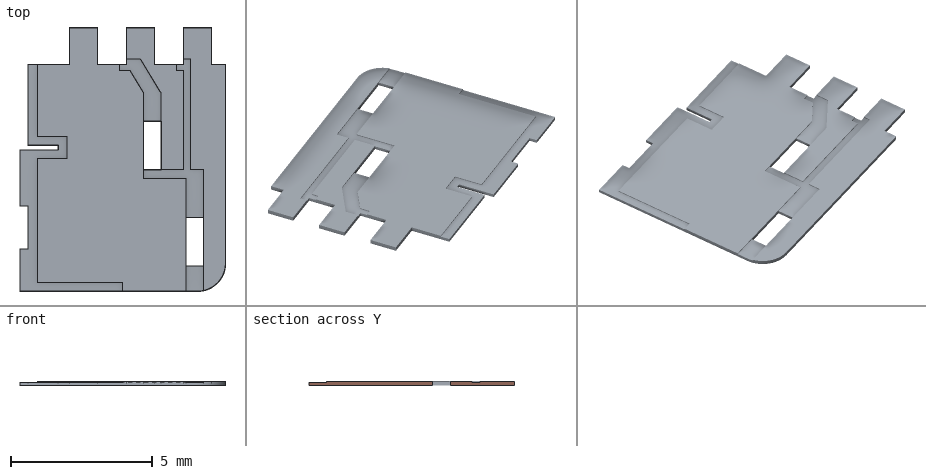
import cadquery as cq

WIDTH = 7.25
LENGTH = 9.3
THICKNESS = 0.15
FILM_THICKNESS = 0.033
CORNER_RADIUS = 0.995

TAB_WIDTH = 0.995
TAB_LENGTH = 1.29
TAB_PITCH = 2.01
FIRST_TAB_X = 1.75
BODY_TOP = LENGTH - TAB_LENGTH
SIGNAL_TAB_X = FIRST_TAB_X + TAB_PITCH
REFERENCE_TAB_X = SIGNAL_TAB_X + TAB_PITCH

EDGE_STEP = 0.28
SLOT_END_X = 1.35
SLOT_BOTTOM = 4.99
SLOT_HEIGHT = 0.16
SLOT_TOP = SLOT_BOTTOM + SLOT_HEIGHT
RECESS_BOTTOM = 1.5
RECESS_HEIGHT = 1.51
RECESS_TOP = RECESS_BOTTOM + RECESS_HEIGHT

CLEARANCE = 0.31
CHANNEL_WIDTH = 2 * CLEARANCE
BOTTOM_GAP_END = 3.62
TAB_GAP_WIDTH = 0.25
TAB_GAP_BELOW = 0.21
TAB_GAP_ABOVE = 0.19
TAB_GAP_BOTTOM = BODY_TOP - TAB_GAP_BELOW
TAB_GAP_TOP = BODY_TOP + TAB_GAP_ABOVE

SIGNAL_CHANNEL_X = 4.36
SIGNAL_CHANNEL_RIGHT = SIGNAL_CHANNEL_X + CHANNEL_WIDTH
SIGNAL_BEND_Y = 6.99
SIGNAL_CHANNEL_BOTTOM = 4.3
SLANT_RUN_PER_RISE = 0.61

REFERENCE_CHANNEL_X = 5.86
REFERENCE_CHANNEL_RIGHT = REFERENCE_CHANNEL_X + CHANNEL_WIDTH

WINDOW_LENGTH = 1.7
REFERENCE_WINDOW_BOTTOM = 0.9


def block(x_min, x_max, y_min, y_max, z_min):
    """Box between the given limits, reaching the top of the plate."""
    size = (x_max - x_min, y_max - y_min, THICKNESS - z_min)
    return cq.Workplane("XY").box(*size, centered=False).translate((x_min, y_min, z_min))


def film_gap(x_min, x_max, y_min, y_max):
    return block(x_min, x_max, y_min, y_max, THICKNESS - FILM_THICKNESS)


def window(x_min, y_min):
    return block(x_min, x_min + CHANNEL_WIDTH, y_min, y_min + WINDOW_LENGTH, 0)


def plate():
    body = block(0, WIDTH, 0, BODY_TOP, 0).edges("|Z and >X and <Y").fillet(CORNER_RADIUS)
    for tab_x in (FIRST_TAB_X, SIGNAL_TAB_X, REFERENCE_TAB_X):
        body = body.union(block(tab_x, tab_x + TAB_WIDTH, BODY_TOP, LENGTH, 0))
    body = body.cut(block(0, EDGE_STEP, SLOT_BOTTOM, BODY_TOP, 0))
    body = body.cut(block(0, SLOT_END_X, SLOT_BOTTOM, SLOT_TOP, 0))
    return body.cut(block(0, EDGE_STEP, RECESS_BOTTOM, RECESS_TOP, 0))


def border_gap():
    """Bare margin along the left edge, around the slot and along part of the bottom edge."""
    margin = film_gap(0, CHANNEL_WIDTH, 0, BODY_TOP)
    around_slot = film_gap(0, SLOT_END_X + CLEARANCE, SLOT_BOTTOM - CLEARANCE, SLOT_TOP + CLEARANCE)
    bottom = film_gap(0, BOTTOM_GAP_END, 0, CLEARANCE)
    return margin.union(around_slot).union(bottom)


def signal_gap():
    """Bare channel with parallel slanted sides."""
    left_slant = SLANT_RUN_PER_RISE * (TAB_GAP_BOTTOM - SIGNAL_BEND_Y)
    right_slant = SLANT_RUN_PER_RISE * (TAB_GAP_TOP - SIGNAL_BEND_Y)
    start_x = SIGNAL_TAB_X - TAB_GAP_WIDTH
    outline = [
        (start_x, TAB_GAP_BOTTOM),
        (SIGNAL_CHANNEL_X - left_slant, TAB_GAP_BOTTOM),
        (SIGNAL_CHANNEL_X, SIGNAL_BEND_Y),
        (SIGNAL_CHANNEL_X, SIGNAL_CHANNEL_BOTTOM),
        (SIGNAL_CHANNEL_RIGHT, SIGNAL_CHANNEL_BOTTOM),
        (SIGNAL_CHANNEL_RIGHT, SIGNAL_BEND_Y),
        (SIGNAL_CHANNEL_RIGHT - right_slant, TAB_GAP_TOP),
        (start_x, TAB_GAP_TOP),
    ]
    film_bottom = cq.Workplane("XY", origin=(0, 0, THICKNESS - FILM_THICKNESS))
    return film_bottom.polyline(outline).close().extrude(FILM_THICKNESS)


def reference_gap():
    """Bare channel that steps down from the reference tab to the bottom edge."""
    line_right = REFERENCE_TAB_X + TAB_GAP_WIDTH
    at_tab = film_gap(REFERENCE_TAB_X - TAB_GAP_WIDTH, line_right, TAB_GAP_BOTTOM, TAB_GAP_TOP)
    line = film_gap(REFERENCE_TAB_X, line_right, SIGNAL_CHANNEL_BOTTOM - CLEARANCE, TAB_GAP_TOP)
    link = film_gap(
        SIGNAL_CHANNEL_X, REFERENCE_CHANNEL_RIGHT,
        SIGNAL_CHANNEL_BOTTOM - CLEARANCE, SIGNAL_CHANNEL_BOTTOM,
    )
    channel = film_gap(REFERENCE_CHANNEL_X, REFERENCE_CHANNEL_RIGHT, 0, SIGNAL_CHANNEL_BOTTOM)
    return at_tab.union(line).union(link).union(channel)


result = plate().cut(border_gap()).cut(signal_gap()).cut(reference_gap())
result = result.cut(window(SIGNAL_CHANNEL_X, SIGNAL_CHANNEL_BOTTOM))
result = result.cut(window(REFERENCE_CHANNEL_X, REFERENCE_WINDOW_BOTTOM))